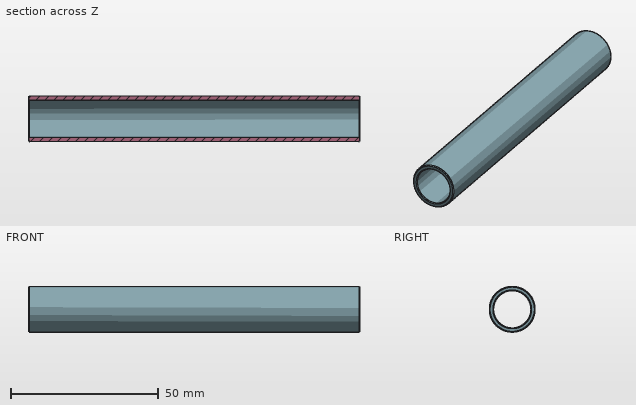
import cadquery as cq

length = 112.5
outer_diameter = 15.6
bore_diameter = 12.6
rim_chamfer = 0.3

tube = (
    cq.Workplane("YZ", origin=(-length / 2, 0, 0))
    .circle(outer_diameter / 2)
    .circle(bore_diameter / 2)
    .extrude(length)
)

result = tube.faces("<X or >X").edges().chamfer(rim_chamfer)